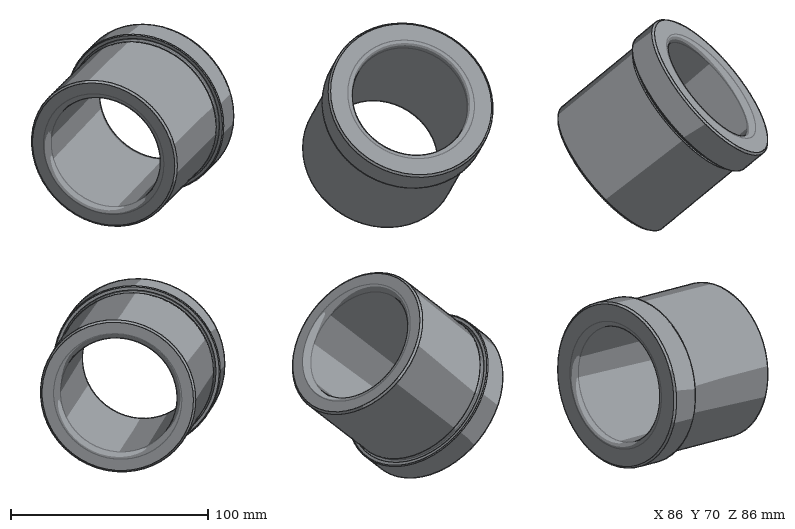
import cadquery as cq
import math

flange_diameter = 86.0
body_diameter = 80.0
bore_diameter = 60.0
length = 70.0
flange_thickness = 15.0
flange_back_chamfer = 1.0
flange_shoulder_chamfer = 0.5
body_end_chamfer = 1.0
bore_mouth_radius = 3.0

undercut_depth = 0.6
undercut_floor_width = 1.55
shoulder_recess_diameter = 81.7
undercut_corner_radius = 0.4

flange_radius = flange_diameter / 2
body_radius = body_diameter / 2
bore_radius = bore_diameter / 2
floor_radius = body_radius - undercut_depth

front_y = -length / 2
back_y = length / 2
shoulder_y = back_y - flange_thickness
floor_end_y = shoulder_y - undercut_floor_width
runout_end_y = floor_end_y - undercut_depth

corner_sweep = 135
diagonal = math.sqrt(0.5)
recess_radius = shoulder_recess_diameter / 2
corner_centre_radius = floor_radius + undercut_corner_radius
wall_foot_radius = corner_centre_radius + undercut_corner_radius * diagonal
wall_foot_y = shoulder_y + recess_radius - wall_foot_radius
corner_centre_y = wall_foot_y - undercut_corner_radius * diagonal
corner_middle = (
    corner_centre_radius - undercut_corner_radius * math.cos(math.radians(corner_sweep / 2)),
    corner_centre_y + undercut_corner_radius * math.sin(math.radians(corner_sweep / 2)),
)


def turned_blank():
    """Revolve the solid outer profile about the Y axis."""
    return (
        cq.Workplane("XY")
        .moveTo(0, front_y)
        .lineTo(body_radius - body_end_chamfer, front_y)
        .lineTo(body_radius, front_y + body_end_chamfer)
        .lineTo(body_radius, runout_end_y)
        .lineTo(floor_radius, floor_end_y)
        .lineTo(floor_radius, corner_centre_y)
        .threePointArc(corner_middle, (wall_foot_radius, wall_foot_y))
        .lineTo(recess_radius, shoulder_y)
        .lineTo(flange_radius - flange_shoulder_chamfer, shoulder_y)
        .lineTo(flange_radius, shoulder_y + flange_shoulder_chamfer)
        .lineTo(flange_radius, back_y - flange_back_chamfer)
        .lineTo(flange_radius - flange_back_chamfer, back_y)
        .lineTo(0, back_y)
        .close()
        .revolve(360, (0, 0), (0, 1))
    )


def bore_cutter():
    """Through bore flaring out to a rounded mouth at both ends."""
    mouth_radius = bore_radius + bore_mouth_radius
    return (
        cq.Workplane("XY")
        .moveTo(0, front_y)
        .lineTo(mouth_radius, front_y)
        .radiusArc((bore_radius, front_y + bore_mouth_radius), bore_mouth_radius)
        .lineTo(bore_radius, back_y - bore_mouth_radius)
        .radiusArc((mouth_radius, back_y), bore_mouth_radius)
        .lineTo(0, back_y)
        .close()
        .revolve(360, (0, 0), (0, 1))
    )


result = turned_blank().cut(bore_cutter())